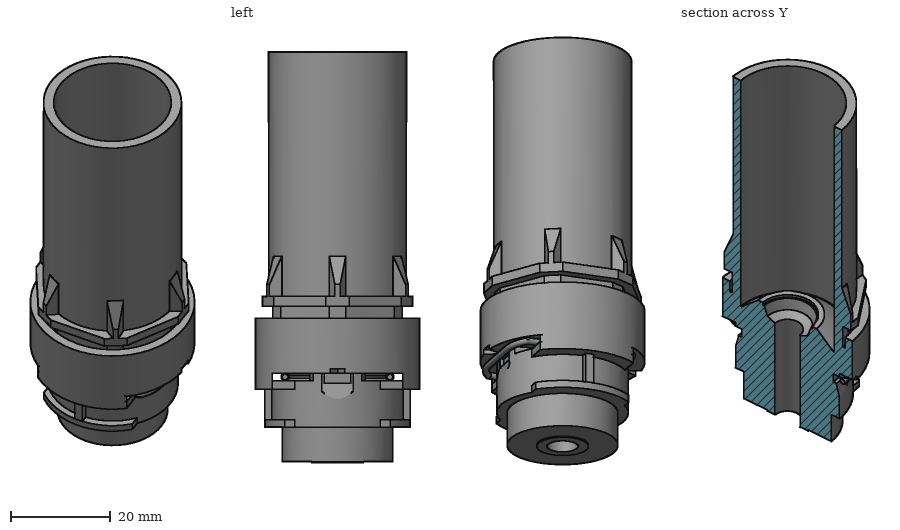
import cadquery as cq
import math

nozzle_bottom = 0.25
base_bottom = 7.2
flange_top = 8.7
skirt_bottom = 14.8
slot_bottom = 16.5
ring_bottom = 18.0
notch_top = 18.9
ring_recess_floor = 26.4
ring_top = 29.1
collar_bottom = 31.5
collar_top = 33.45
rib_corner = 35.85
rib_top = 41.55
total_height = 82.6

face_boss_radius = 5.2
nozzle_radius = 11.15
base_radius = 13.2
flange_radius = 14.6
ring_radius = 16.5
ring_recess_radius = 14.6
tube_radius = 13.9

grip_half_width = 10.1
grip_rib_width = 1.7

neck_flat = 13.05
neck_corner = 14.1
collar_flat = 15.1
collar_corner = 16.1

rib_count = 6
rib_root_width = 3.3
rib_tip_width = 1.1
rib_overlap = 0.4
rib_root_radius = tube_radius - rib_overlap

bore_radius = 11.8
bore_floor = 23.95
cone_bottom_radius = 11.65
cone_top_radius = 7.4
cone_top = 27.75
seat_radius = 6.2
seat_step_radius = 5.9
seat_step_level = 27.1
seat_throat_radius = 5.0
seat_throat_level = 24.8
hole_radius = 3.1
hole_top = 23.9

pocket_half_width = 3.1
pocket_bottom = 12.9
pocket_ramp_top = 15.9
pocket_depth = 0.75
window_half_width = 2.65
window_bottom = 16.0
window_depth = 1.6
notch_half_width = 1.5
notch_depth = 3.3

wire_radius = 0.7
clip_level = (slot_bottom + ring_bottom) / 2
leg_end_x = -11.2
leg_end_y = 10.5
leg_bend_x = 11.7
leg_bend_y = 10.65
bridge_x = 14.0
bend_radius = 8.3

slot_half_width = math.sqrt(ring_radius**2 - grip_half_width**2)
core_radius = 10.3
groove_floor_radius = 9.75
groove_floor_half_height = 0.25
web_outer_half_width = 4.7
web_inner_half_width = 5.6
web_inner_x = 8.3


def cylinder(radius, bottom, top):
    return cq.Workplane("XY").workplane(offset=bottom).circle(radius).extrude(top - bottom)


def block(x_half, y_half, bottom, top):
    return cq.Workplane("XY").workplane(offset=bottom).rect(2 * x_half, 2 * y_half).extrude(top - bottom)


def on_both_sides(shape):
    """The shape at +X or -X together with its copy turned half a turn about Z."""
    return shape.union(shape.rotate((0, 0, 0), (0, 0, 1), 180))


def cut_corner_hexagon(flat, corner, bottom, top):
    """Hexagonal prism with flats facing +Y and -Y and its six corners cut flat."""
    height = top - bottom
    across_corners = 2 / math.cos(math.pi / 6)
    plane = cq.Workplane("XY").workplane(offset=bottom)
    flats = plane.polygon(6, flat * across_corners).extrude(height)
    corners = plane.polygon(6, corner * across_corners).extrude(height)
    return flats.intersect(corners.rotate((0, 0, 0), (0, 0, 1), 30))


def lower_end():
    """Nozzle and base with the two grip flanges and their upright ribs."""
    face_boss = cylinder(face_boss_radius, 0, nozzle_bottom)
    nozzle = cylinder(nozzle_radius, nozzle_bottom, base_bottom)
    base = cylinder(base_radius, base_bottom, ring_bottom)
    flange = cylinder(flange_radius, base_bottom, flange_top)
    flange = flange.intersect(block(grip_half_width, ring_radius, base_bottom, flange_top))
    ribs = block(grip_rib_width / 2, flange_radius, flange_top, skirt_bottom)
    return face_boss.union(nozzle).union(base).union(flange).union(ribs)


def ring():
    """Outer ring, open at the top, with a skirt hanging on the -Y and +Y sides."""
    body = cylinder(ring_radius, ring_bottom, ring_top)
    body = body.cut(cylinder(ring_recess_radius, ring_recess_floor, ring_top))
    skirt = cylinder(ring_radius, skirt_bottom, ring_bottom)
    skirt = skirt.intersect(block(grip_half_width, ring_radius, skirt_bottom, ring_bottom))
    return body.union(skirt)


def tube_ribs():
    """Wedge-shaped ribs standing on the collar, sloping in to the tube at the top."""
    plan = (
        cq.Workplane("XY").workplane(offset=collar_top)
        .moveTo(rib_root_radius, -rib_root_width / 2)
        .lineTo(tube_radius, -rib_root_width / 2)
        .lineTo(collar_corner, -rib_tip_width / 2)
        .lineTo(collar_corner, rib_tip_width / 2)
        .lineTo(tube_radius, rib_root_width / 2)
        .lineTo(rib_root_radius, rib_root_width / 2)
        .close()
        .extrude(rib_top - collar_top)
    )
    side = (
        cq.Workplane("XZ")
        .moveTo(0, collar_top)
        .lineTo(collar_corner, collar_top)
        .lineTo(collar_corner, rib_corner)
        .lineTo(tube_radius, rib_top)
        .lineTo(0, rib_top)
        .close()
        .extrude(rib_root_width / 2, both=True)
    )
    rib = plan.intersect(side)
    ribs = rib
    for index in range(1, rib_count):
        ribs = ribs.union(rib.rotate((0, 0, 0), (0, 0, 1), index * 360 / rib_count))
    return ribs


def upper_end():
    """Six-sided neck and collar carrying the long tube and its ribs."""
    neck = cut_corner_hexagon(neck_flat, neck_corner, ring_recess_floor, collar_bottom)
    collar = cut_corner_hexagon(collar_flat, collar_corner, collar_bottom, collar_top)
    tube = cylinder(tube_radius, collar_top, total_height)
    return neck.union(collar).union(tube).union(tube_ribs())


def inner_space():
    """Tube bore around the raised cone, with the stepped seat and hole below."""
    return (
        cq.Workplane("XZ")
        .moveTo(0, 0)
        .lineTo(hole_radius, 0)
        .lineTo(hole_radius, hole_top)
        .lineTo(seat_throat_radius, seat_throat_level)
        .lineTo(seat_step_radius, seat_step_level)
        .lineTo(seat_radius, seat_step_level)
        .lineTo(seat_radius, cone_top)
        .lineTo(cone_top_radius, cone_top)
        .lineTo(cone_bottom_radius, bore_floor)
        .lineTo(bore_radius, bore_floor)
        .lineTo(bore_radius, total_height)
        .lineTo(0, total_height)
        .close()
        .revolve(360, (0, 0, 0), (0, 1, 0))
    )


def grooved_core():
    """Round core with a tapered groove around it for the clip legs."""
    return (
        cq.Workplane("XZ")
        .moveTo(0, slot_bottom)
        .lineTo(core_radius, slot_bottom)
        .lineTo(groove_floor_radius, clip_level - groove_floor_half_height)
        .lineTo(groove_floor_radius, clip_level + groove_floor_half_height)
        .lineTo(core_radius, ring_bottom)
        .lineTo(0, ring_bottom)
        .close()
        .revolve(360, (0, 0, 0), (0, 1, 0))
    )


def clip_slot():
    """Slot across the base around the core, interrupted by webs on the -X and +X sides."""
    slot = block(ring_radius, slot_half_width, slot_bottom, ring_bottom)
    web = (
        cq.Workplane("XY").workplane(offset=slot_bottom)
        .moveTo(-base_radius, -web_outer_half_width)
        .lineTo(-web_inner_x, -web_inner_half_width)
        .lineTo(-web_inner_x, web_inner_half_width)
        .lineTo(-base_radius, web_outer_half_width)
        .close()
        .extrude(ring_bottom - slot_bottom)
    )
    return slot.cut(grooved_core()).cut(on_both_sides(web))


def side_pockets():
    """Ramped pockets on the -X and +X sides of the base, each with a deeper window."""
    pocket = (
        cq.Workplane("XZ")
        .moveTo(-base_radius, pocket_bottom)
        .lineTo(-base_radius + pocket_depth, pocket_ramp_top)
        .lineTo(-base_radius + pocket_depth, ring_bottom)
        .lineTo(-base_radius, ring_bottom)
        .close()
        .extrude(pocket_half_width, both=True)
    )
    window = (
        cq.Workplane("XY").workplane(offset=window_bottom)
        .center(-base_radius + window_depth / 2, 0)
        .rect(window_depth, 2 * window_half_width)
        .extrude(ring_bottom - window_bottom)
    )
    return on_both_sides(pocket.union(window))


def ring_notches():
    """V notches in the lower edge of the ring on the -X and +X sides."""
    notch = (
        cq.Workplane("XY").workplane(offset=ring_bottom)
        .moveTo(-ring_radius, -notch_half_width)
        .lineTo(-ring_radius + notch_depth, 0)
        .lineTo(-ring_radius, notch_half_width)
        .close()
        .extrude(notch_top - ring_bottom)
    )
    return on_both_sides(notch)


def make_housing():
    body = lower_end().union(ring()).union(upper_end())
    return body.cut(inner_space()).cut(clip_slot()).cut(side_pockets()).cut(ring_notches())


def make_clip():
    """Round wire bent into a U that opens toward -X."""
    bend_center_x = bridge_x - bend_radius
    bend_start_angle = math.acos((leg_bend_x - bend_center_x) / bend_radius)
    bridge_end_y = leg_bend_y - bend_radius * math.sin(bend_start_angle)
    bend_middle_x = bend_center_x + bend_radius * math.cos(bend_start_angle / 2)
    bend_middle_y = bridge_end_y + bend_radius * math.sin(bend_start_angle / 2)
    path = (
        cq.Workplane("XY").workplane(offset=clip_level)
        .moveTo(leg_end_x, leg_end_y)
        .lineTo(leg_bend_x, leg_bend_y)
        .threePointArc((bend_middle_x, bend_middle_y), (bridge_x, bridge_end_y))
        .lineTo(bridge_x, -bridge_end_y)
        .threePointArc((bend_middle_x, -bend_middle_y), (leg_bend_x, -leg_bend_y))
        .lineTo(leg_end_x, -leg_end_y)
    )
    section = cq.Workplane("YZ", origin=(leg_end_x, leg_end_y, clip_level)).circle(wire_radius)
    return section.sweep(path, transition="round")


housing = make_housing()
clip = make_clip()

result = cq.Compound.makeCompound([housing.solids().val(), clip.solids().val()])